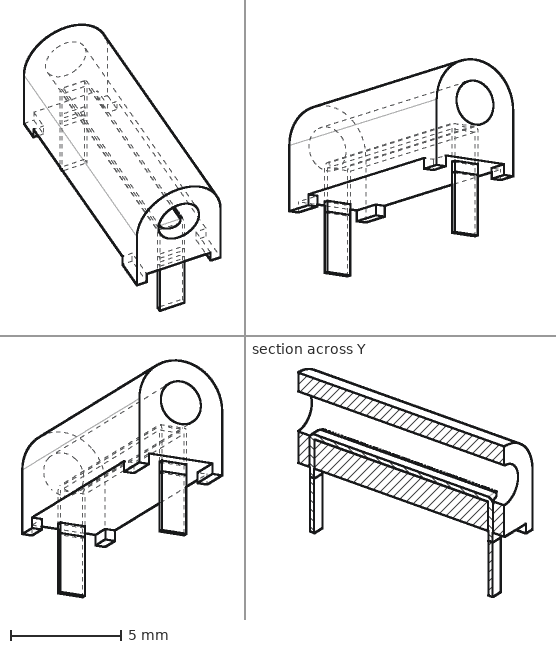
import cadquery as cq

LENGTH = 11.76
WIDTH = 4.21
HEIGHT = 5.15
TOP_RADIUS = WIDTH / 2
SHOULDER_Z = HEIGHT - TOP_RADIUS

BORE_DIAMETER = 2.03
BORE_Z = HEIGHT - 2.0

FOOT_HEIGHT = 0.5
FOOT_WIDTH = 0.5
FOOT_LENGTH_MINUS_X = 1.0
FOOT_LENGTH_PLUS_X = 1.52

PIN_PITCH = 10.16
STRIP_WIDTH = 1.25
STRIP_THICKNESS = 0.25
BRIDGE_LENGTH = PIN_PITCH + STRIP_THICKNESS
BRIDGE_TOP_Z = BORE_Z - 0.87
BEND_RADIUS = STRIP_THICKNESS
LEG_LENGTH = 2.8


def make_bridge():
    """Strip whose flat top rises slightly into the bore; its ends reach the underside of the feet."""
    outer = (
        cq.Workplane("XY")
        .box(BRIDGE_LENGTH, STRIP_WIDTH, BRIDGE_TOP_Z, centered=(True, True, False))
        .edges("|Y and >Z")
        .fillet(BEND_RADIUS)
    )
    inner = cq.Workplane("XY").box(
        BRIDGE_LENGTH - 2 * STRIP_THICKNESS,
        STRIP_WIDTH,
        BRIDGE_TOP_Z - STRIP_THICKNESS,
        centered=(True, True, False),
    )
    return outer.cut(inner)


def make_leg(x):
    """Straight solder leg that hangs from one end of the bridge."""
    return (
        cq.Workplane("XY")
        .box(STRIP_THICKNESS, STRIP_WIDTH, LEG_LENGTH, centered=(True, True, False))
        .translate((x, 0, -LEG_LENGTH))
    )


def make_housing(bridge):
    """Bored block on four feet, with a matching recess for the bridge."""
    block = (
        cq.Workplane("YZ")
        .moveTo(-WIDTH / 2, 0)
        .lineTo(WIDTH / 2, 0)
        .lineTo(WIDTH / 2, SHOULDER_Z)
        .threePointArc((0, HEIGHT), (-WIDTH / 2, SHOULDER_Z))
        .close()
        .extrude(LENGTH / 2, both=True)
    )
    bore = (
        cq.Workplane("YZ")
        .center(0, BORE_Z)
        .circle(BORE_DIAMETER / 2)
        .extrude(LENGTH / 2, both=True)
    )

    lengthwise_channel = cq.Workplane("XY").box(
        LENGTH, WIDTH - 2 * FOOT_WIDTH, FOOT_HEIGHT, centered=(True, True, False)
    )
    cross_channel = (
        cq.Workplane("XY")
        .box(
            LENGTH - FOOT_LENGTH_MINUS_X - FOOT_LENGTH_PLUS_X,
            WIDTH,
            FOOT_HEIGHT,
            centered=(False, True, False),
        )
        .translate((-LENGTH / 2 + FOOT_LENGTH_MINUS_X, 0, 0))
    )
    return block.cut(bore).cut(lengthwise_channel).cut(cross_channel).cut(bridge)


bridge = make_bridge()
housing = make_housing(bridge)
legs = [make_leg(side * PIN_PITCH / 2) for side in (-1, 1)]

result = cq.Compound.makeCompound([housing.val(), bridge.val(), *[leg.val() for leg in legs]])